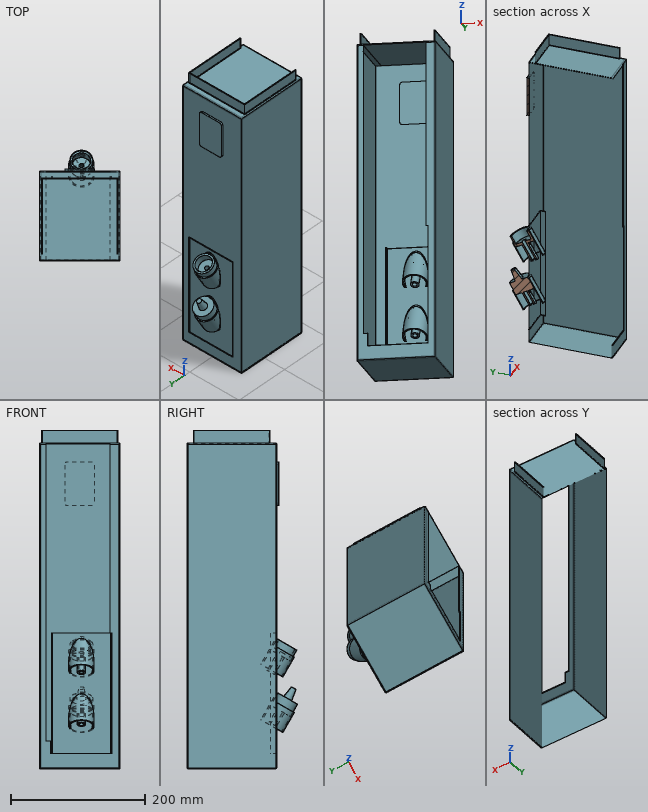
import cadquery as cq
sheet = 1.5
roof_thickness = 2.2
bend_radius = 2.2
floor_bend_radius = 1.3
column_width = 120.0
column_depth = 134.0
column_height = 485.3
overall_height = 504.0

opening_left = 10.0
opening_right = 105.0
opening_bottom = 41.5
roof_relief = 0.22

panel_center_x = 62.5
panel_width = 89.0
panel_height = 180.0
panel_bottom = 22.5
panel_flange_depth = 8.0
window_width = 91.5

rim_size = 113.5
rim_front = 10.1
rim_left = (column_width - rim_size) / 2

plate_width = 44.5
plate_height = 65.0
plate_thickness = 3.0
plate_bottom = 392.0
plate_corner_radius = 4.0

holder_tilt = 30.0
holder_x = panel_center_x
holder_end_y = 126.6
lower_holder_z = 63.6
holder_pitch = 82.6
sleeve_length = 50.0
sleeve_shoulder = 34.0
sleeve_diameter = 38.0
insert_diameter = 34.0
insert_base = 26.0
stub_diameter = 12.6
stub_bore_diameter = 7.0

socket_top = sleeve_shoulder + 11.0
socket_diameter = 27.5
socket_depth = 14.0
socket_stub_end = -3.0

cap_top = sleeve_shoulder + 13.3
cap_stub_end = 3.0
spigot_base_diameter = 14.0
spigot_tip_diameter = 8.0
spigot_length = 18.0


def block(x0, x1, y0, y1, z0, z1):
    """Box between two opposite corners."""
    return cq.Workplane("XY").box(x1 - x0, y1 - y0, z1 - z0, centered=False).translate((x0, y0, z0))


def holder_cylinder(diameter, start, end):
    """Cylinder on the upright holder axis between two heights."""
    return cq.Workplane("XY").workplane(offset=start).circle(diameter / 2).extrude(end - start)


def place_holder(body, end_z):
    """Lean an upright holder body to the rear and move it to its place in the panel."""
    return body.rotate((0, 0, 0), (1, 0, 0), -holder_tilt).translate((holder_x, holder_end_y, end_z))


def make_column():
    """Closed sheet box with bent edges, opened at the front and at the rear panel."""
    outside = block(0, column_width, 0, column_depth, 0, column_height)
    outside = outside.faces("<Z").edges("|Y").fillet(floor_bend_radius)
    outside = outside.edges("|Z").fillet(bend_radius)
    outside = outside.faces(">Z").edges("<Y").fillet(bend_radius)
    inner_rear = column_depth - sheet
    roof_underside = column_height - roof_thickness
    inside = block(sheet, column_width - sheet, sheet, inner_rear, sheet, roof_underside)
    opening_top = roof_underside + roof_relief
    opening = block(opening_left, opening_right, -sheet, inner_rear, opening_bottom, opening_top)
    panel_top = panel_bottom + panel_height
    window_left = panel_center_x - window_width / 2
    window = block(window_left, window_left + window_width, -sheet, 2 * sheet, panel_bottom, panel_top)
    panel_left = panel_center_x - panel_width / 2
    panel_seat = block(panel_left, panel_left + panel_width, inner_rear, column_depth, panel_bottom, panel_top)
    return outside.cut(inside).cut(opening).cut(window).cut(panel_seat)


def make_rim():
    """Rear wall and two side walls of the collar on the roof."""
    rear = rim_front + rim_size
    right = rim_left + rim_size
    outside = block(rim_left, right, rim_front, rear, column_height, overall_height)
    inside = block(rim_left + sheet, right - sheet, rim_front, rear - sheet, column_height, overall_height)
    return outside.cut(inside)


def make_plate():
    """Rounded plate on the rear wall."""
    left = (column_width - plate_width) / 2
    rear = column_depth + plate_thickness
    plate = block(left, left + plate_width, column_depth, rear, plate_bottom, plate_bottom + plate_height)
    return plate.edges("|Y").fillet(plate_corner_radius)


def make_panel():
    """Channel whose web fills the rear wall and whose two flanges point forward."""
    left = panel_center_x - panel_width / 2
    right = left + panel_width
    web_front = column_depth - sheet
    front = web_front - panel_flange_depth
    top = panel_bottom + panel_height
    outside = block(left, right, front, column_depth, panel_bottom, top)
    inside = block(left + sheet, right - sheet, front, web_front, panel_bottom, top)
    return outside.cut(inside)


def make_sleeve(end_z):
    """Leaning tube, removed above its shoulder where it is behind the rear wall."""
    bore = holder_cylinder(insert_diameter, 0, sleeve_length)
    tube = holder_cylinder(sleeve_diameter, 0, sleeve_length).cut(bore)
    removed = place_holder(holder_cylinder(2 * sleeve_diameter, sleeve_shoulder, 2 * sleeve_length), end_z)
    reach = 4 * sleeve_length
    behind_wall = block(0, column_width, column_depth, column_depth + reach, end_z - reach, end_z + reach)
    return place_holder(tube, end_z).cut(removed.intersect(behind_wall))


def make_insert_blank(top, stub_end):
    """Plug that fills the sleeve and stands out of its top, with a stub below."""
    plug = holder_cylinder(insert_diameter, insert_base, top)
    return plug.union(holder_cylinder(stub_diameter, stub_end, insert_base))


def make_socket_insert():
    """Insert with an open socket and a bore through its stub."""
    floor = socket_top - socket_depth
    socket = holder_cylinder(socket_diameter, floor, socket_top)
    bore = holder_cylinder(stub_bore_diameter, socket_stub_end, floor)
    return make_insert_blank(socket_top, socket_stub_end).cut(socket).cut(bore)


def make_cap_insert():
    """Closed insert with a tapered spigot on top and a blind bore in its stub."""
    spigot = (
        cq.Workplane("XY")
        .workplane(offset=cap_top)
        .circle(spigot_base_diameter / 2)
        .workplane(offset=spigot_length)
        .circle(spigot_tip_diameter / 2)
        .loft()
    )
    bore = holder_cylinder(stub_bore_diameter, cap_stub_end, insert_base)
    return make_insert_blank(cap_top, cap_stub_end).union(spigot).cut(bore)


column = make_column()
rim = make_rim()
plate = make_plate()
panel = make_panel()

upper_holder_z = lower_holder_z + holder_pitch
sleeves = [make_sleeve(z) for z in (lower_holder_z, upper_holder_z)]
cap_insert = place_holder(make_cap_insert(), lower_holder_z)
socket_insert = place_holder(make_socket_insert(), upper_holder_z)

for sleeve in sleeves:
    panel = panel.cut(sleeve)
panel = panel.cut(place_holder(make_insert_blank(cap_top, cap_stub_end), lower_holder_z))
panel = panel.cut(place_holder(make_insert_blank(socket_top, socket_stub_end), upper_holder_z))

result = cq.Compound.makeCompound(
    [
        column.val(),
        rim.val(),
        plate.val(),
        panel.val(),
        *[sleeve.val() for sleeve in sleeves],
        cap_insert.val(),
        socket_insert.val(),
    ]
)